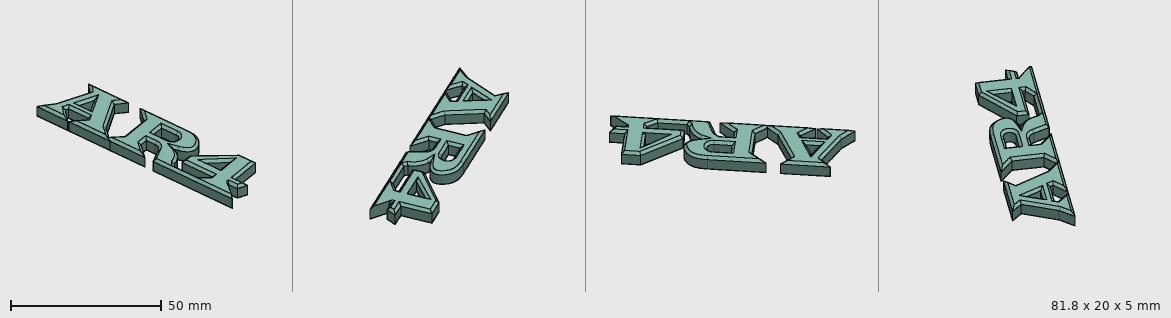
import cadquery as cq


thickness = 5.0
bevel = 1.0
overall_length = 81.8
letter_height = 20.0
knee_height = 4.7
bar_bottom = 5.4
bar_top = 8.9

a_axis = 14.7
a_head_half_width = 8.3
a_waist_half_width = 5.1
a_waist_height = 16.5
a_knee_half_width = 10.6
a_foot_end = 30.6
a_foot_gap_left = 12.8
a_foot_gap_right = 13.25
a_inner_knee_height = 4.25
a_counter_axis = 13.25
a_counter_half_width = 2.4
a_counter_apex_height = 14.15
a_crotch_half_width = 4.1
a_inner_knee_half_width = 4.6

r_head_start = 27.8
r_foot_start = 27.9
r_stem_left = 33.0
r_stem_right = 40.0
r_waist_height = 15.45
r_foot_end = 45.2
r_arch_height = 7.6
r_arch_start = (43.6, r_arch_height)
r_arch_middle = (45.3, 7.1)
r_arch_end = (46.4, 5.65)
r_leg_end = 48.6
r_bowl_start = 47.4
r_bowl_shoulder = (54.2, 17.75)
r_bowl_tip = (55.9, 14.2)
r_bowl_end = (51.5, 9.7)
r_notch = (50.2, 9.4)
r_leg_start = (50.95, 9.1)
r_leg_middle = (53.3, 7.1)
r_ankle = (55.1, 3.1)
r_counter_bottom = 11.7
r_counter_top = 15.95
r_counter_round_start = 46.1

link_height = 2.05
link_start = 56.0
link_end = 65.8
four_left = 56.6
four_left_top = 9.6
four_stem_left = 69.3
four_stem_right = 76.2
four_head_left = 69.75
four_inner_knee_height = 4.5
four_bar_tip = 81.4
four_bar_tip_lower = 79.7
four_counter_left = 62.1
four_counter_top = 15.1
four_knee = (four_stem_right, knee_height)
four_foot = (overall_length, 0)
four_counter_corners = [
    (four_counter_left, bar_top),
    (four_stem_left, bar_top),
    (four_stem_left, four_counter_top),
]


def upper_edge_between(start, end):
    """Selector for the straight upper edge that joins two outline points."""
    middle = ((start[0] + end[0]) / 2, (start[1] + end[1]) / 2, thickness)
    return cq.selectors.NearestToPointSelector(middle)


def letter_a_body():
    """The A with its triangular counter; the feet are joined only by the crossbar."""
    outline = [
        (0, 0),
        (a_axis - a_knee_half_width, knee_height),
        (a_axis - a_waist_half_width, a_waist_height),
        (a_axis - a_head_half_width, letter_height),
        (a_axis + a_head_half_width, letter_height),
        (a_axis + a_waist_half_width, a_waist_height),
        (a_axis + a_knee_half_width, knee_height),
        (a_foot_end, 0),
        (a_foot_gap_right, 0),
        (a_counter_axis + a_inner_knee_half_width, a_inner_knee_height),
        (a_counter_axis + a_crotch_half_width, bar_bottom),
        (a_counter_axis - a_crotch_half_width, bar_bottom),
        (a_counter_axis - a_inner_knee_half_width, a_inner_knee_height),
        (a_foot_gap_left, 0),
    ]
    counter = [
        (a_counter_axis - a_counter_half_width, bar_top),
        (a_counter_axis + a_counter_half_width, bar_top),
        (a_counter_axis, a_counter_apex_height),
    ]
    profile = cq.Workplane().polyline(outline).close().polyline(counter).close()
    return profile.extrude(thickness).faces(">Z").edges().chamfer(bevel)


def r_counter():
    """Cutter for the opening inside the bowl, rounded on its right end."""
    radius = (r_counter_top - r_counter_bottom) / 2
    return (
        cq.Workplane()
        .moveTo(r_stem_right, r_counter_bottom)
        .lineTo(r_counter_round_start, r_counter_bottom)
        .threePointArc(
            (r_counter_round_start + radius, r_counter_bottom + radius),
            (r_counter_round_start, r_counter_top),
        )
        .lineTo(r_stem_right, r_counter_top)
        .close()
        .extrude(thickness)
    )


def r_and_four_body():
    """The R and the 4 as one plate, joined by the link along the baseline."""
    bowl_end_direction = (r_notch[0] - r_bowl_end[0], r_notch[1] - r_bowl_end[1])
    outline = (
        cq.Workplane()
        .moveTo(r_foot_start, 0)
        .lineTo(r_stem_left, knee_height)
        .lineTo(r_stem_left, r_waist_height)
        .lineTo(r_head_start, letter_height)
        .lineTo(r_bowl_start, letter_height)
        .spline(
            [r_bowl_shoulder, r_bowl_tip, r_bowl_end],
            tangents=[(1, 0), bowl_end_direction],
            includeCurrent=True,
        )
        .lineTo(*r_notch)
        .lineTo(*r_leg_start)
        .threePointArc(r_leg_middle, r_ankle)
        .lineTo(link_start, link_height)
        .lineTo(link_end, link_height)
        .lineTo(four_stem_left, four_inner_knee_height)
        .lineTo(four_stem_left, bar_bottom)
        .lineTo(four_left, bar_bottom)
        .lineTo(four_left, four_left_top)
        .lineTo(four_head_left, letter_height)
        .lineTo(four_stem_right, letter_height)
        .lineTo(four_stem_right, bar_top)
        .lineTo(four_bar_tip, bar_top)
        .lineTo(four_bar_tip_lower, bar_bottom)
        .lineTo(four_stem_right, bar_bottom)
        .lineTo(*four_knee)
        .lineTo(*four_foot)
        .lineTo(r_leg_end, 0)
        .lineTo(*r_arch_end)
        .threePointArc(r_arch_middle, r_arch_start)
        .lineTo(r_stem_right, r_arch_height)
        .lineTo(r_stem_right, knee_height)
        .lineTo(r_foot_end, 0)
        .close()
        .extrude(thickness)
    )
    four_counter = cq.Workplane().polyline(four_counter_corners).close().extrude(thickness)
    blank = outline.cut(r_counter()).cut(four_counter)
    plain_edges = cq.selectors.SumSelector(
        upper_edge_between(four_knee, four_foot),
        upper_edge_between(four_counter_corners[0], four_counter_corners[1]),
    )
    bevelled_edges = cq.selectors.InverseSelector(plain_edges)
    return blank.faces(">Z").edges(bevelled_edges).chamfer(bevel)


letter_a = letter_a_body()
r_and_four = r_and_four_body().cut(letter_a)

result = cq.Compound.makeCompound([letter_a.solids().val(), r_and_four.solids().val()])